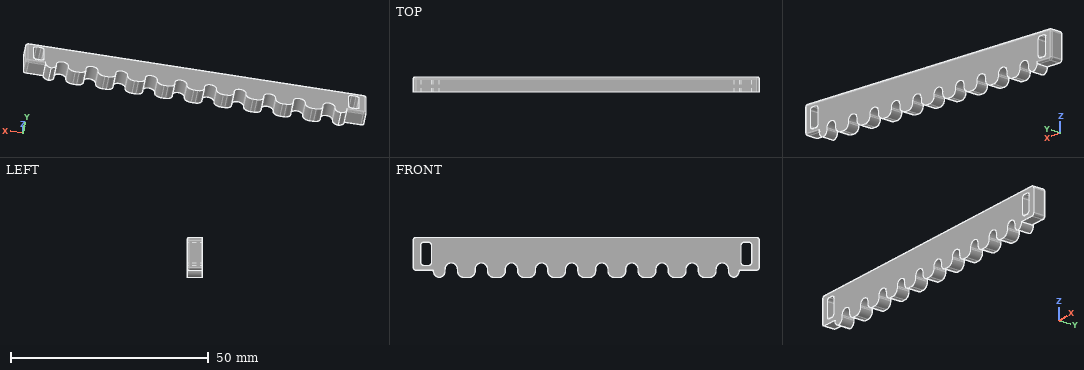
import cadquery as cq
import math

length = 87.63
thickness = 3.81
bar_height = 8.38
bar_corner_radius = 0.762
back_edge_radius = 0.508

overall_height = 10.23
notch_count = 10
notch_pitch = 7.62
notch_width = 3.048
notch_depth = 3.72
notch_row_offset = 0.127
tooth_tip_radius = 1.778
end_ledge_length = 5.08

window_width = 2.667
window_height = 5.84
window_end_margin = 1.956
window_top_margin = 1.27
window_corner_radius = 0.762

bar_bottom = overall_height - bar_height
notch_radius = notch_width / 2
first_notch_x = notch_row_offset - (notch_count - 1) * notch_pitch / 2
notch_xs = [first_notch_x + i * notch_pitch for i in range(notch_count)]
toothed_half_length = length / 2 - end_ledge_length


def front_plane():
    """Workplane on the front face facing -Y, with local x along +X and local y along +Z."""
    return cq.Workplane(cq.Plane(origin=(0, 0, 0), xDir=(1, 0, 0), normal=(0, -1, 0)))


def block(width, height, x_center, z_bottom):
    """Full-thickness block with its front face at Y = 0."""
    shape = cq.Workplane("XY").box(width, thickness, height, centered=(True, False, False))
    return shape.translate((x_center, 0, z_bottom))


def make_bar():
    """Plate with rounded corners and a rounded rim on its back face."""
    plate = block(length, bar_height, 0, bar_bottom)
    plate = plate.edges("|Y").fillet(bar_corner_radius)
    return plate.faces(">Y").edges().fillet(back_edge_radius)


def tip_height(inset):
    """Height of the tooth tip arc at a distance inward from the tooth flank."""
    from_center = tooth_tip_radius - inset
    return tooth_tip_radius - math.sqrt(tooth_tip_radius**2 - from_center**2)


def make_tooth(start, end):
    """Tooth with an arc on each flank; the arcs of a narrow tooth meet before they level out."""
    reach = min(tooth_tip_radius, (end - start) / 2)
    outline = (
        front_plane()
        .moveTo(start, notch_depth)
        .lineTo(start, tooth_tip_radius)
        .threePointArc((start + reach / 2, tip_height(reach / 2)), (start + reach, tip_height(reach)))
    )
    if end - start > 2 * reach:
        outline = outline.lineTo(end - reach, tip_height(reach))
    outline = outline.threePointArc((end - reach / 2, tip_height(reach / 2)), (end, tooth_tip_radius))
    return outline.lineTo(end, notch_depth).close().extrude(-thickness)


def make_teeth():
    """One tooth in each gap between notches, plus a narrow one at each end of the row."""
    starts = [-toothed_half_length] + [x + notch_radius for x in notch_xs]
    ends = [x - notch_radius for x in notch_xs] + [toothed_half_length]
    teeth = cq.Workplane("XY")
    for start, end in zip(starts, ends):
        teeth = teeth.add(make_tooth(start, end))
    return teeth.combine()


def make_notches():
    """Slots open at the bottom and ending in a half circle at the top."""
    arc_start = notch_depth - notch_radius
    notches = cq.Workplane("XY")
    for x in notch_xs:
        notch = (
            front_plane()
            .moveTo(x - notch_radius, 0)
            .lineTo(x - notch_radius, arc_start)
            .threePointArc((x, notch_depth), (x + notch_radius, arc_start))
            .lineTo(x + notch_radius, 0)
            .close()
            .extrude(-thickness)
        )
        notches = notches.add(notch)
    return notches.combine()


def make_windows():
    """Rounded rectangular through openings, mirrored about the middle of the bar."""
    x = length / 2 - window_end_margin - window_width / 2
    z = overall_height - window_top_margin - window_height
    window = block(window_width, window_height, x, z).edges("|Y").fillet(window_corner_radius)
    return window.union(window.mirror("YZ"))


result = make_bar().union(make_teeth()).cut(make_notches()).cut(make_windows())